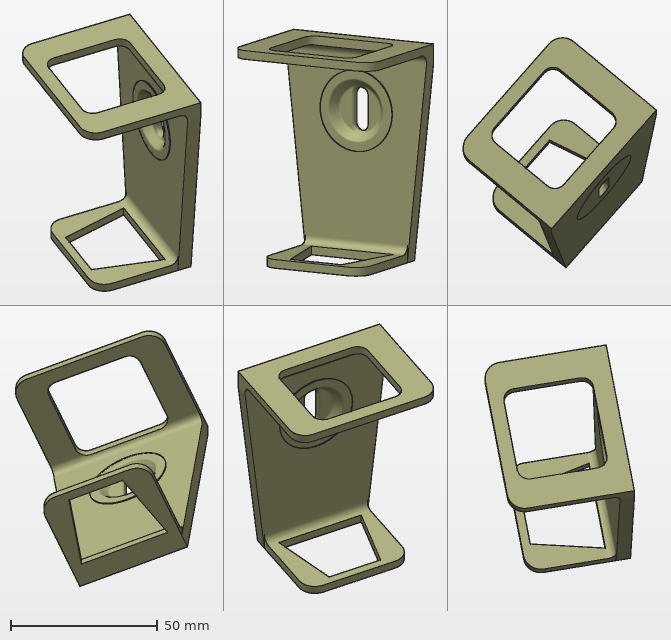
import cadquery as cq
import math

width = 55.0
depth = 43.0
height = 76.0
bottom_depth = 36.0

plate_thickness = 5.0
straight_height = 6.5
foot_width = 40.0

flange_thickness = 3.05
flange_corner_radius = 6.0
root_fillet_radius = 3.0
top_reach = depth - plate_thickness
bottom_reach = bottom_depth - plate_thickness

top_window_width = 34.0
top_window_length = 31.0
top_window_front_wall = 5.0
top_window_corner_radius = 4.0

bottom_window_back_width = 32.0
bottom_window_front_width = 20.0
bottom_window_front_wall = 3.05

insert_diameter = 28.3
insert_height = 51.1
insert_proud = 0.4

recess_mouth_diameter = 21.35
recess_floor_diameter = 16.3
recess_depth = 3.05
recess_fillet_radius = 1.0

slot_width = 5.25
slot_length = 15.2
slot_rim_radius = 1.0

edge_margin = 0.1

insert_thickness = plate_thickness + insert_proud
insert_back_plane = cq.Plane((0, plate_thickness, insert_height), (1, 0, 0), (0, -1, 0))


def back_plate():
    """Tapered plate behind the XZ plane."""
    taper_top = height - straight_height
    outline = [
        (-foot_width / 2, 0),
        (foot_width / 2, 0),
        (width / 2, taper_top),
        (width / 2, height),
        (-width / 2, height),
        (-width / 2, taper_top),
    ]
    return cq.Workplane("XZ").polyline(outline).close().extrude(-plate_thickness)


def flange(flange_width, reach, base_height):
    """Flat flange reaching forward from the plate, with rounded front corners."""
    return (
        cq.Workplane("XY", (0, -reach / 2, base_height))
        .rect(flange_width, reach)
        .extrude(flange_thickness)
        .edges("|Z and <Y")
        .fillet(flange_corner_radius)
    )


def root_fillet(fillet_width, face_height, up):
    """Concave fillet between the plate and a flange face; up is 1 or -1, away from the flange."""
    r = root_fillet_radius
    diagonal = r * (1 - math.sqrt(0.5))
    return (
        cq.Workplane("YZ", (-fillet_width / 2, 0, 0))
        .moveTo(0, face_height)
        .lineTo(-r, face_height)
        .threePointArc((-diagonal, face_height + up * diagonal), (0, face_height + up * r))
        .close()
        .extrude(fillet_width)
    )


def top_window():
    center_y = -top_reach + top_window_front_wall + top_window_length / 2
    window_depth = flange_thickness + root_fillet_radius
    return (
        cq.Workplane("XY", (0, center_y, height))
        .rect(top_window_width, top_window_length)
        .extrude(-window_depth)
        .edges("|Z")
        .fillet(top_window_corner_radius)
    )


def bottom_window():
    back_y = -root_fillet_radius
    front_y = -bottom_reach + bottom_window_front_wall
    outline = [
        (-bottom_window_back_width / 2, back_y),
        (bottom_window_back_width / 2, back_y),
        (bottom_window_front_width / 2, front_y),
        (-bottom_window_front_width / 2, front_y),
    ]
    return cq.Workplane("XY").polyline(outline).close().extrude(flange_thickness)


def make_bracket():
    top_flange_base = height - flange_thickness
    insert_hole = cq.Workplane(insert_back_plane).circle(insert_diameter / 2).extrude(plate_thickness)
    return (
        back_plate()
        .union(flange(width, top_reach, top_flange_base))
        .union(flange(foot_width, bottom_reach, 0))
        .union(root_fillet(width, top_flange_base, -1))
        .union(root_fillet(foot_width, flange_thickness, 1))
        .cut(top_window())
        .cut(bottom_window())
        .cut(insert_hole)
    )


def edges_within(body, size_x, size_y, level):
    """Edges of the body that lie at one height inside a rectangle centered on its axis."""
    corner = cq.Vector(size_x / 2 + edge_margin, size_y / 2 + edge_margin, edge_margin)
    middle = cq.Vector(0, 0, level)
    box = cq.selectors.BoxSelector((middle - corner).toTuple(), (middle + corner).toTuple(), True)
    return body.edges(box)


def make_insert():
    """The insert is shaped standing on its back face, then turned to face forward in the plate."""
    floor_level = insert_thickness - recess_depth
    recess = (
        cq.Workplane("XY", (0, 0, floor_level))
        .circle(recess_floor_diameter / 2)
        .workplane(offset=recess_depth)
        .circle(recess_mouth_diameter / 2)
        .loft()
    )
    slot = cq.Workplane("XY").slot2D(slot_length, slot_width, 90).extrude(floor_level)

    body = cq.Workplane("XY").circle(insert_diameter / 2).extrude(insert_thickness).cut(recess)
    for diameter, level in (
        (recess_floor_diameter, floor_level),
        (recess_mouth_diameter, insert_thickness),
    ):
        body = edges_within(body, diameter, diameter, level).fillet(recess_fillet_radius)
    body = body.cut(slot)
    body = edges_within(body, slot_width, slot_length, floor_level).fillet(slot_rim_radius)
    return cq.Workplane(body.val().moved(insert_back_plane.location))


bracket = make_bracket()
insert = make_insert()

result = cq.Compound.makeCompound([bracket.val(), insert.val()])